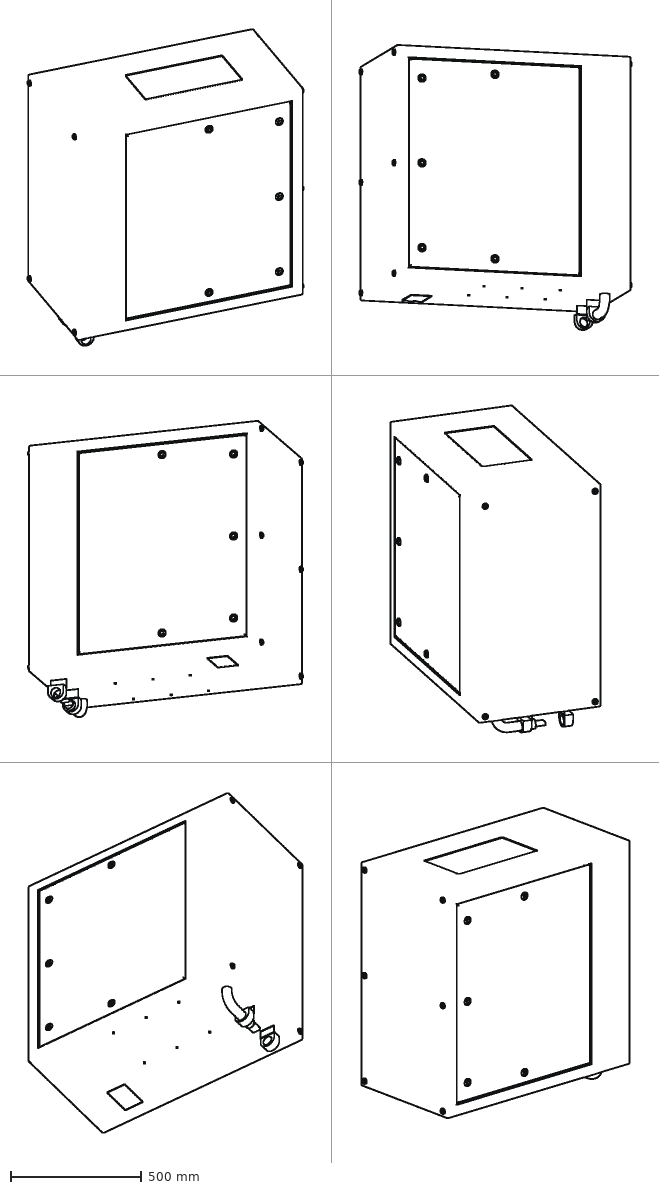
import cadquery as cq

HOUSING_X = 506.0
HOUSING_Y = 939.0
HOUSING_Z = 915.0
EDGE_RADIUS = 8.0
MID_Z = HOUSING_Z / 2

DOOR_CENTER_Y = 76.0
OPENING_Y = 691.0
OPENING_Z = 821.0
OPENING_DEPTH = 8.0
DOOR_GAP = 5.0
DOOR_EDGE_RADIUS = 6.0

WINDOW_X = 205.0
WINDOW_Y = 403.0
WINDOW_DEPTH = 4.0
WINDOW_CORNER_RADIUS = 5.0

HEAD_TAPER = 5.0
SOCKET_RATIO = 0.5
DOOR_HEAD_DIAMETER = 30.0
DOOR_HEAD_HEIGHT = 7.5
DOOR_SCREW_FRONT_Y = 368.0
DOOR_SCREW_OUTER_Z = 331.0
DOOR_SCREW_MIDDLE_Z = 360.0
END_HEAD_DIAMETER = 22.0
END_HEAD_HEIGHT = 9.0
END_SCREW_INSET = 26.0

COVER_X = 122.0
COVER_Y = 82.0
COVER_CENTER = (126.0, 278.0)
COVER_THICKNESS = 3.0
STUD_DIAMETER = 7.0
STUD_HEIGHT = 3.0
STUD_X = (-200.0, 8.0)
STUD_Y = (104.0, -48.0, -202.0)

PIPE_DIAMETER = 38.0
PIPE_X = -151.0
PIPE_Y = -393.0
PIPE_DROP = 12.0
BEND_RADIUS = 50.0
PIPE_Z = -PIPE_DROP - BEND_RADIUS
PIPE_END_X = 6.0
TONGUE_WIDTH = 36.0
TONGUE_HEIGHT = 15.0
TONGUE_END_X = 46.0

CLAMP_RADIUS = 32.0
CLAMP_CENTER_Z = -56.0
CLAMP_TOP_Z = -32.0
CLAMP_LENGTH = 34.0
PLATE_THICKNESS = 3.0
PLATE_BOTTOM_Z = -36.0
BRACKETS = ((-17.0, -1), (120.0, 1))


def box_between(x_start, x_end, y_center, y_size, z_bottom, z_top):
    """Box given by its X range, its Y centre and width, and its Z range."""
    return cq.Workplane("XY").box(
        abs(x_end - x_start), y_size, z_top - z_bottom
    ).translate(((x_start + x_end) / 2, y_center, (z_bottom + z_top) / 2))


def make_block():
    block = cq.Workplane("XY").box(HOUSING_X, HOUSING_Y, HOUSING_Z, centered=(True, True, False))
    return block.edges().fillet(EDGE_RADIUS)


def cut_window(body):
    window = (
        cq.Workplane("XY", origin=(0, DOOR_CENTER_Y, HOUSING_Z - WINDOW_DEPTH))
        .rect(WINDOW_X, WINDOW_Y)
        .extrude(WINDOW_DEPTH)
        .edges("|Z")
        .fillet(WINDOW_CORNER_RADIUS)
    )
    return body.cut(window)


def set_door(body, side):
    """Recess the side wall and fill it with a flush round-edged door, leaving a narrow gap."""
    wall = side * HOUSING_X / 2
    floor = wall - side * OPENING_DEPTH
    opening = box_between(
        floor, wall, DOOR_CENTER_Y, OPENING_Y, MID_Z - OPENING_Z / 2, MID_Z + OPENING_Z / 2
    )
    door_half_z = OPENING_Z / 2 - DOOR_GAP
    door = box_between(
        floor, wall, DOOR_CENTER_Y, OPENING_Y - 2 * DOOR_GAP, MID_Z - door_half_z, MID_Z + door_half_z
    )
    outer_face = ">X" if side > 0 else "<X"
    return body.cut(opening).union(door.faces(outer_face).edges().fillet(DOOR_EDGE_RADIUS))


def screw_head(seat, outward, diameter, height):
    """Tapered button head with a hexagon socket, standing on its seat point."""
    head = (
        cq.Workplane(cq.Plane(origin=seat, normal=outward))
        .circle(diameter / 2)
        .extrude(height)
        .faces(cq.selectors.DirectionMinMaxSelector(cq.Vector(*outward)))
        .edges()
        .chamfer(HEAD_TAPER)
    )
    socket = (
        cq.Workplane(cq.Plane(origin=seat, normal=outward))
        .workplane(offset=height / 2)
        .polygon(6, diameter * SOCKET_RATIO)
        .extrude(height / 2)
    )
    return head.cut(socket)


def add_door_screws(body):
    places = [(DOOR_SCREW_FRONT_Y, dz) for dz in (-DOOR_SCREW_OUTER_Z, 0, DOOR_SCREW_OUTER_Z)]
    places += [(DOOR_CENTER_Y, dz) for dz in (-DOOR_SCREW_MIDDLE_Z, DOOR_SCREW_MIDDLE_Z)]
    for side in (-1, 1):
        for y, dz in places:
            seat = (side * HOUSING_X / 2, y, MID_Z + dz)
            body = body.union(screw_head(seat, (side, 0, 0), DOOR_HEAD_DIAMETER, DOOR_HEAD_HEIGHT))
    return body


def add_end_screws(body):
    """Four corner screws on each Y end; the +Y end also has one at mid height on each side."""
    corner_heights = (END_SCREW_INSET, HOUSING_Z - END_SCREW_INSET)
    screw_x = HOUSING_X / 2 - END_SCREW_INSET
    for end, heights in ((-1, corner_heights), (1, (*corner_heights, MID_Z))):
        for x in (-screw_x, screw_x):
            for z in heights:
                seat = (x, end * HOUSING_Y / 2, z)
                body = body.union(screw_head(seat, (0, end, 0), END_HEAD_DIAMETER, END_HEAD_HEIGHT))
    return body


def add_underside_details(body):
    cover = cq.Workplane("XY").center(*COVER_CENTER).rect(COVER_X, COVER_Y).extrude(-COVER_THICKNESS)
    studs = (
        cq.Workplane("XY")
        .pushPoints([(x, y) for x in STUD_X for y in STUD_Y])
        .circle(STUD_DIAMETER / 2)
        .extrude(-STUD_HEIGHT)
    )
    return body.union(cover).union(studs)


def make_bracket(clamp_start, direction):
    """Plate hanging from the housing with a U clamp whose bore is in line with the pipe."""
    plate_outer = clamp_start - direction * PLATE_THICKNESS
    plate = box_between(plate_outer, clamp_start, PIPE_Y, 2 * CLAMP_RADIUS, PLATE_BOTTOM_Z, 0)
    clamp = (
        cq.Workplane("YZ", origin=(clamp_start, PIPE_Y, 0))
        .moveTo(-CLAMP_RADIUS, CLAMP_TOP_Z)
        .lineTo(-CLAMP_RADIUS, CLAMP_CENTER_Z)
        .threePointArc((0, CLAMP_CENTER_Z - CLAMP_RADIUS), (CLAMP_RADIUS, CLAMP_CENTER_Z))
        .lineTo(CLAMP_RADIUS, CLAMP_TOP_Z)
        .close()
        .extrude(direction * CLAMP_LENGTH)
    )
    bore = (
        cq.Workplane("YZ", origin=(plate_outer, PIPE_Y, PIPE_Z))
        .circle(PIPE_DIAMETER / 2)
        .extrude(direction * (PLATE_THICKNESS + CLAMP_LENGTH))
    )
    return plate.union(clamp).cut(bore)


def make_housing():
    body = cut_window(make_block())
    for side in (-1, 1):
        body = set_door(body, side)
    body = add_door_screws(body)
    body = add_end_screws(body)
    body = add_underside_details(body)
    for clamp_start, direction in BRACKETS:
        body = body.union(make_bracket(clamp_start, direction))
    return body


def make_pipe():
    """Pipe that drops from the housing, bends toward +X and ends in a flat round-edged tongue."""
    bend_end_x = PIPE_X + BEND_RADIUS
    drop = cq.Workplane("XY").center(PIPE_X, PIPE_Y).circle(PIPE_DIAMETER / 2).extrude(-PIPE_DROP)
    bend = (
        cq.Workplane("XY", origin=(PIPE_X, PIPE_Y, -PIPE_DROP))
        .circle(PIPE_DIAMETER / 2)
        .revolve(90, (BEND_RADIUS, 0), (BEND_RADIUS, -1))
    )
    run = (
        cq.Workplane("YZ", origin=(bend_end_x, PIPE_Y, PIPE_Z))
        .circle(PIPE_DIAMETER / 2)
        .extrude(PIPE_END_X - bend_end_x)
    )
    tongue = (
        cq.Workplane("YZ", origin=(PIPE_END_X, PIPE_Y, PIPE_Z))
        .slot2D(TONGUE_WIDTH, TONGUE_HEIGHT)
        .extrude(TONGUE_END_X - PIPE_END_X)
    )
    return drop.union(bend).union(run).union(tongue)


housing = make_housing()
pipe = make_pipe()

result = cq.Compound.makeCompound([housing.val(), pipe.val()])